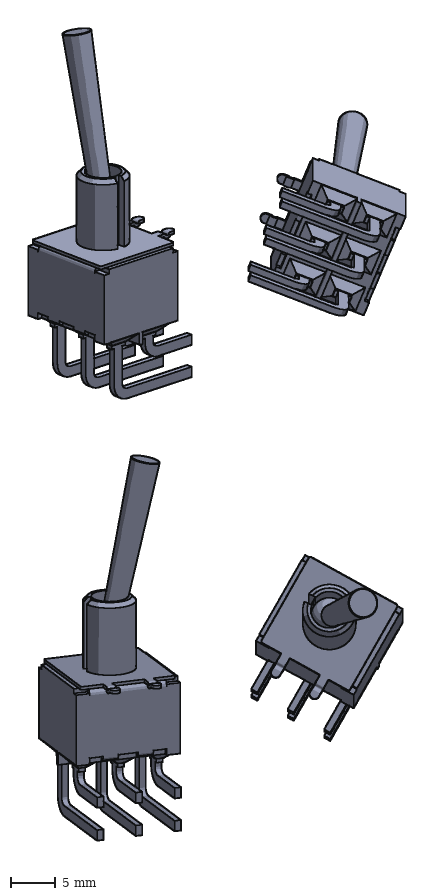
import cadquery as cq
import math

OVERALL_HEIGHT = 41.85
TERMINAL_REACH = 14.6

CASE_X = 12.7
CASE_Y = 11.35
CASE_HEIGHT = 8.4

FRAME_WIDTH = 9.4
FRAME_THICKNESS = 0.55
FRAME_FLAT_Y = 9.85
FRAME_BEND_RADIUS = 0.75
FRAME_SKIRT_Z = 0.75
FRAME_TOP_Z = CASE_HEIGHT + FRAME_THICKNESS
LUG_WIDTH = 1.9
LUG_X = 2.15
LUG_BOTTOM_Z = 0.13

COVER_X = 11.5
COVER_THICKNESS = 0.38
COVER_CORNER_RADIUS = 0.25
COVER_TOP_Z = FRAME_TOP_Z + COVER_THICKNESS
TAB_X = 2.5
TAB_WIDTH = 1.15
TAB_TIP_Y = 8.45
CRIMP_Y = 7.07
CRIMP_SLOPE = math.radians(65)
CRIMP_RIM_RADIUS = 0.315
CRIMP_GROOVE_RADIUS = 0.19

BUSHING_DIAMETER = 6.03
BUSHING_HEIGHT = 8.45
BUSHING_BORE = 4.2
BUSHING_CHAMFER = 0.5
KEYWAY_WIDTH = 1.0
BUSHING_TOP_Z = COVER_TOP_Z + BUSHING_HEIGHT

PIVOT_DEPTH = 4.2
PIVOT_Z = BUSHING_TOP_Z - PIVOT_DEPTH
BALL_RADIUS = 2.15
LEVER_TILT = 12.4
LEVER_BASE_RADIUS = 1.2
LEVER_TIP_RADIUS = 1.67
LEVER_CHAMFER = 0.1

TERMINAL_PITCH = 4.75
ROW_Y = 2.4
TERMINAL_WIDTH = 0.8
TERMINAL_DEPTH = 1.25
TERMINAL_END_Y = TERMINAL_REACH - CASE_Y / 2
BACK_LEG_Z = -4.15
FRONT_LEG_Z = -8.05
BEND_INNER_RADIUS = 0.75
BEND_OUTER_RADIUS = BEND_INNER_RADIUS + TERMINAL_DEPTH
COLLAR_DEPTH = 2.05
COLLAR_BOTTOM_Z = -1.5

MOUND_HEIGHT = 1.05
MOUND_TOP_X = 3.05
MOUND_TOP_Y = 4.45
MOUND_BOTTOM_X = 0.95
MOUND_BOTTOM_Y = COLLAR_DEPTH

BARRIER_THICKNESS = 0.5
BARRIER_DEPTH = 1.5


def block(size_x, size_y, bottom, top):
    """Box centred on the Z axis, between two heights."""
    return cq.Workplane("XY").workplane(offset=bottom).rect(size_x, size_y).extrude(top - bottom)


def yz_plate(x, width):
    """Sketch plane for profiles in Y and Z that are extruded by width about x."""
    return cq.Workplane("YZ", origin=(x - width / 2, 0, 0))


def make_case():
    """Case, recessed at the front and back between the corners to seat the frame strap."""
    core = block(CASE_X, CASE_Y - 2 * FRAME_THICKNESS, 0, CASE_HEIGHT)
    corner_width = (CASE_X - FRAME_WIDTH) / 2
    corner_x = (FRAME_WIDTH + corner_width) / 2
    corner_pair = block(corner_width, CASE_Y, 0, CASE_HEIGHT)
    left_corners = corner_pair.translate((-corner_x, 0, 0))
    right_corners = corner_pair.translate((corner_x, 0, 0))
    return core.union(left_corners).union(right_corners)


def make_frame():
    """Flat top, a bent strap over front and back, and curled lugs below the strap."""
    flat = block(CASE_X, FRAME_FLAT_Y, CASE_HEIGHT, FRAME_TOP_Z)
    strap = block(FRAME_WIDTH, CASE_Y, FRAME_SKIRT_Z, FRAME_TOP_Z)
    frame = flat.union(strap.edges("|X and >Z").fillet(FRAME_BEND_RADIUS))
    lug_pair = block(LUG_WIDTH, CASE_Y, LUG_BOTTOM_Z, FRAME_SKIRT_Z)
    lug_pair = lug_pair.edges("|X and <Z").fillet(FRAME_THICKNESS)
    for x in (-LUG_X, LUG_X):
        frame = frame.union(lug_pair.translate((x, 0, 0)))
    return frame


def make_tab(x):
    """Round-ended tab with a rounded groove pressed down across it."""
    round_y = TAB_TIP_Y - TAB_WIDTH / 2
    groove_half = CRIMP_GROOVE_RADIUS * math.sin(CRIMP_SLOPE)
    rim_half = groove_half + CRIMP_RIM_RADIUS * math.sin(CRIMP_SLOPE)
    groove_top_z = COVER_TOP_Z - CRIMP_RIM_RADIUS * (1 - math.cos(CRIMP_SLOPE))
    groove_bottom_z = groove_top_z - CRIMP_GROOVE_RADIUS * (1 - math.cos(CRIMP_SLOPE))

    bulge_radius = CRIMP_GROOVE_RADIUS + COVER_THICKNESS
    bulge_centre_z = groove_bottom_z + CRIMP_GROOVE_RADIUS
    bulge_half = math.sqrt(bulge_radius**2 - (bulge_centre_z - FRAME_TOP_Z) ** 2)

    strip = (
        yz_plate(x, TAB_WIDTH)
        .moveTo(0, COVER_TOP_Z)
        .lineTo(CRIMP_Y - rim_half, COVER_TOP_Z)
        .radiusArc((CRIMP_Y - groove_half, groove_top_z), CRIMP_RIM_RADIUS)
        .threePointArc((CRIMP_Y, groove_bottom_z), (CRIMP_Y + groove_half, groove_top_z))
        .radiusArc((CRIMP_Y + rim_half, COVER_TOP_Z), CRIMP_RIM_RADIUS)
        .lineTo(TAB_TIP_Y, COVER_TOP_Z)
        .lineTo(TAB_TIP_Y, FRAME_TOP_Z)
        .lineTo(CRIMP_Y + bulge_half, FRAME_TOP_Z)
        .threePointArc((CRIMP_Y, bulge_centre_z - bulge_radius), (CRIMP_Y - bulge_half, FRAME_TOP_Z))
        .lineTo(0, FRAME_TOP_Z)
        .close()
        .extrude(TAB_WIDTH)
    )
    outline = (
        cq.Workplane("XY", origin=(x, 0, 0))
        .moveTo(-TAB_WIDTH / 2, 0)
        .lineTo(-TAB_WIDTH / 2, round_y)
        .threePointArc((0, TAB_TIP_Y), (TAB_WIDTH / 2, round_y))
        .lineTo(TAB_WIDTH / 2, 0)
        .close()
        .extrude(COVER_TOP_Z)
    )
    return strip.intersect(outline)


def make_cover():
    """Plate with rounded corners and its two tabs."""
    cover = block(COVER_X, CASE_Y, FRAME_TOP_Z, COVER_TOP_Z)
    cover = cover.edges("|Z").fillet(COVER_CORNER_RADIUS)
    for x in (-TAB_X, TAB_X):
        cover = cover.union(make_tab(x))
    return cover


def make_bushing():
    """Chamfered tube, blind at the pivot height, with a keyway through the +X wall."""
    radius = BUSHING_DIAMETER / 2
    bushing = cq.Workplane("XY").workplane(offset=COVER_TOP_Z).circle(radius).extrude(BUSHING_HEIGHT)
    bushing = bushing.faces(">Z").chamfer(BUSHING_CHAMFER)
    bore = cq.Workplane("XY").workplane(offset=PIVOT_Z).circle(BUSHING_BORE / 2).extrude(PIVOT_DEPTH)
    keyway = block(radius, KEYWAY_WIDTH, COVER_TOP_Z, BUSHING_TOP_Z)
    keyway = keyway.translate((BUSHING_BORE / 2 + radius / 2, 0, 0))
    return bushing.cut(bore).cut(keyway)


def make_lever():
    """Ball and tapered lever, tilted toward -X about the ball centre up to the overall height."""
    tilt = math.radians(LEVER_TILT)
    tip_rise = (LEVER_TIP_RADIUS - LEVER_CHAMFER) * math.sin(tilt)
    tip_centre_z = OVERALL_HEIGHT + FRONT_LEG_Z - tip_rise
    length = (tip_centre_z - PIVOT_Z) / math.cos(tilt)
    lever = (
        cq.Workplane("XY")
        .circle(LEVER_BASE_RADIUS)
        .workplane(offset=length)
        .circle(LEVER_TIP_RADIUS)
        .loft()
        .faces(">Z")
        .chamfer(LEVER_CHAMFER)
    )
    lever = lever.union(cq.Workplane("XY").sphere(BALL_RADIUS))
    return lever.rotate((0, 0, 0), (0, 1, 0), -LEVER_TILT).translate((0, 0, PIVOT_Z))


def make_terminal(x, y, leg_bottom):
    """Collar and an L-shaped leg that turns toward +Y."""
    front = y - TERMINAL_DEPTH / 2
    back = y + TERMINAL_DEPTH / 2
    leg_top = leg_bottom + TERMINAL_DEPTH
    bend_y = front + BEND_OUTER_RADIUS
    bend_z = leg_bottom + BEND_OUTER_RADIUS
    leg = (
        yz_plate(x, TERMINAL_WIDTH)
        .moveTo(front, 0)
        .lineTo(front, bend_z)
        .radiusArc((bend_y, leg_bottom), -BEND_OUTER_RADIUS)
        .lineTo(TERMINAL_END_Y, leg_bottom)
        .lineTo(TERMINAL_END_Y, leg_top)
        .lineTo(bend_y, leg_top)
        .radiusArc((back, bend_z), BEND_INNER_RADIUS)
        .lineTo(back, 0)
        .close()
        .extrude(TERMINAL_WIDTH)
    )
    collar = block(TERMINAL_WIDTH, COLLAR_DEPTH, COLLAR_BOTTOM_Z, 0).translate((x, y, 0))
    return leg.union(collar)


def make_mound(x, y):
    """Inverted frustum below the case."""
    return (
        cq.Workplane("XY", origin=(x, y, 0))
        .rect(MOUND_TOP_X, MOUND_TOP_Y)
        .workplane(offset=-MOUND_HEIGHT)
        .rect(MOUND_BOTTOM_X, MOUND_BOTTOM_Y)
        .loft()
    )


def make_barrier():
    """Full-width rib with a rounded lower edge."""
    radius = BARRIER_THICKNESS / 2
    return (
        yz_plate(0, CASE_X)
        .moveTo(-radius, 0)
        .lineTo(-radius, radius - BARRIER_DEPTH)
        .threePointArc((0, -BARRIER_DEPTH), (radius, radius - BARRIER_DEPTH))
        .lineTo(radius, 0)
        .close()
        .extrude(CASE_X)
    )


result = make_case().union(make_frame()).union(make_cover())
result = result.union(make_bushing()).union(make_lever()).union(make_barrier())
for column in (-1, 0, 1):
    x = column * TERMINAL_PITCH
    for y, leg_bottom in ((-ROW_Y, FRONT_LEG_Z), (ROW_Y, BACK_LEG_Z)):
        result = result.union(make_mound(x, y)).union(make_terminal(x, y, leg_bottom))